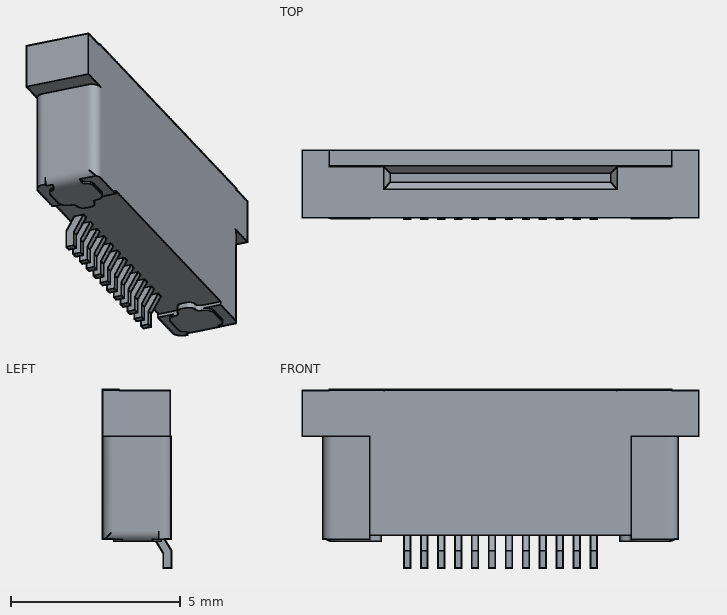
import cadquery as cq


total_height = 5.28
lip_height = 0.04
flange_top = total_height - lip_height
flange_bottom = 3.88
body_bottom = 0.96

flange_width = 11.7
housing_depth = 2.0
body_half_width = 3.86

lip_width = 10.11
lip_depth = 0.47

slot_mouth_width = 6.88
slot_throat_width = 6.5
slot_mouth_front = 1.16
slot_throat_front = 0.95
slot_throat_back = 0.68
slot_lead_in = 0.2
slot_depth = 2.92

lip_slope = (slot_throat_back - lip_depth) / (slot_lead_in + lip_height)
lip_base_depth = lip_depth + lip_slope * lip_height

clip_half_width = 5.24
clip_depth = 2.02
clip_bottom = 0.85
clip_bend_radius = 0.29
clip_bend_depth = 1.66

tongue_bottom = 0.78
tongue_mid_depth = 1.03
tongue_half_width = 0.7
tongue_root_half_width = 0.45
tongue_shoulder_start = 4.72
tongue_shoulder_middle = (4.91, 0.56)
tongue_shoulder_end = 5.07
tongue_neck_start = 4.14
tongue_outer_neck_radius = 0.29
tongue_inner_neck_radius = 0.13
tongue_tip_radius = 0.21

lead_count = 12
lead_pitch = 0.5
lead_width = 0.2
lead_thickness = 0.25
lead_front = 2.04
lead_bend_front = 0.51
lead_bend_back = 0.43
lead_slope = 0.6
lead_embedment = 0.12
lead_top = body_bottom + lead_embedment


def box(x_min, x_max, depth_min, depth_max, z_min, z_max):
    """Block between two X limits, two depths in front of the back face and two heights."""
    size = (x_max - x_min, depth_max - depth_min, z_max - z_min)
    return cq.Workplane("XY").box(*size, centered=False).translate((x_min, -depth_max, z_min))


def centered_box(width, depth_max, z_min, z_max):
    return box(-width / 2, width / 2, 0, depth_max, z_min, z_max)


def slot_rectangle(width, back, front, z):
    """Closed wire of a slot cross-section at height z."""
    middle = (back + front) / 2
    return cq.Workplane("XY", origin=(0, -middle, z)).rect(width, front - back).val()


def make_slot():
    throat_top = flange_top - slot_lead_in
    throat = box(
        -slot_throat_width / 2, slot_throat_width / 2,
        slot_throat_back, slot_throat_front,
        flange_top - slot_depth, throat_top,
    )
    lead_in = cq.Workplane(cq.Solid.makeLoft([
        slot_rectangle(slot_throat_width, slot_throat_back, slot_throat_front, throat_top),
        slot_rectangle(slot_mouth_width, lip_base_depth, slot_mouth_front, flange_top),
    ], True))
    return throat.union(lead_in)


def make_lip():
    profile = [(0, flange_top), (-lip_base_depth, flange_top), (-lip_depth, total_height), (0, total_height)]
    return cq.Workplane("YZ").polyline(profile).close().extrude(lip_width / 2, both=True)


def make_housing():
    flange = centered_box(flange_width, housing_depth, flange_bottom, flange_top)
    body = centered_box(2 * body_half_width, housing_depth, body_bottom, flange_bottom)
    return flange.union(body).cut(make_slot()).union(make_lip())


def make_tongue():
    """Tongue of the +X clip: a narrow root, a wide pad and a stepped, rounded tip."""
    neck_x = tongue_neck_start - tongue_outer_neck_radius
    neck_y = tongue_half_width - tongue_outer_neck_radius
    shoulder_x = neck_x - tongue_inner_neck_radius
    shoulder_y = neck_y - tongue_inner_neck_radius
    tip_x = shoulder_x - tongue_tip_radius
    tip_y = shoulder_y - tongue_tip_radius
    half = (
        cq.Workplane("XY", origin=(0, -tongue_mid_depth, tongue_bottom))
        .moveTo(tip_x, 0)
        .lineTo(tip_x, tip_y)
        .tangentArcPoint((shoulder_x, shoulder_y), relative=False)
        .tangentArcPoint((neck_x, neck_y), relative=False)
        .tangentArcPoint((tongue_neck_start, tongue_half_width), relative=False)
        .lineTo(tongue_shoulder_start, tongue_half_width)
        .tangentArcPoint(tongue_shoulder_middle, relative=False)
        .tangentArcPoint((tongue_shoulder_end, tongue_root_half_width), relative=False)
        .lineTo(clip_half_width, tongue_root_half_width)
        .lineTo(clip_half_width, 0)
        .close()
        .extrude(body_bottom - tongue_bottom)
    )
    return half.union(half.mirror("XZ", (0, -tongue_mid_depth, 0)))


def make_clip():
    """Clip on the +X side, its side wall bent round to the front, back and underside."""
    wall = box(body_half_width, clip_half_width, 0, clip_depth, clip_bottom, flange_bottom)
    wall = wall.edges("|Z and >X").fillet(clip_bend_radius)
    clip = wall.union(make_tongue())
    bend_zone = box(0, clip_half_width, 0, clip_bend_depth, tongue_bottom, flange_bottom)
    rounded_zone = bend_zone.edges("|Y and >X and <Z").fillet(clip_bend_radius)
    return clip.cut(bend_zone.cut(rounded_zone))


def make_lead():
    """Cranked lead centred on X = 0."""
    lead_back = lead_front - lead_thickness
    front_top = lead_front - lead_slope * (lead_top - lead_bend_front)
    back_top = lead_back - lead_slope * (lead_top - lead_bend_back)
    profile = [
        (-lead_front, 0),
        (-lead_front, lead_bend_front),
        (-front_top, lead_top),
        (-back_top, lead_top),
        (-lead_back, lead_bend_back),
        (-lead_back, 0),
    ]
    return cq.Workplane("YZ").polyline(profile).close().extrude(lead_width / 2, both=True)


right_clip = make_clip()
left_clip = right_clip.mirror("YZ")
result = make_housing().union(right_clip).union(left_clip)

lead = make_lead()
for index in range(lead_count):
    lead_x = (index - (lead_count - 1) / 2) * lead_pitch
    result = result.union(lead.translate((lead_x, 0, 0)))